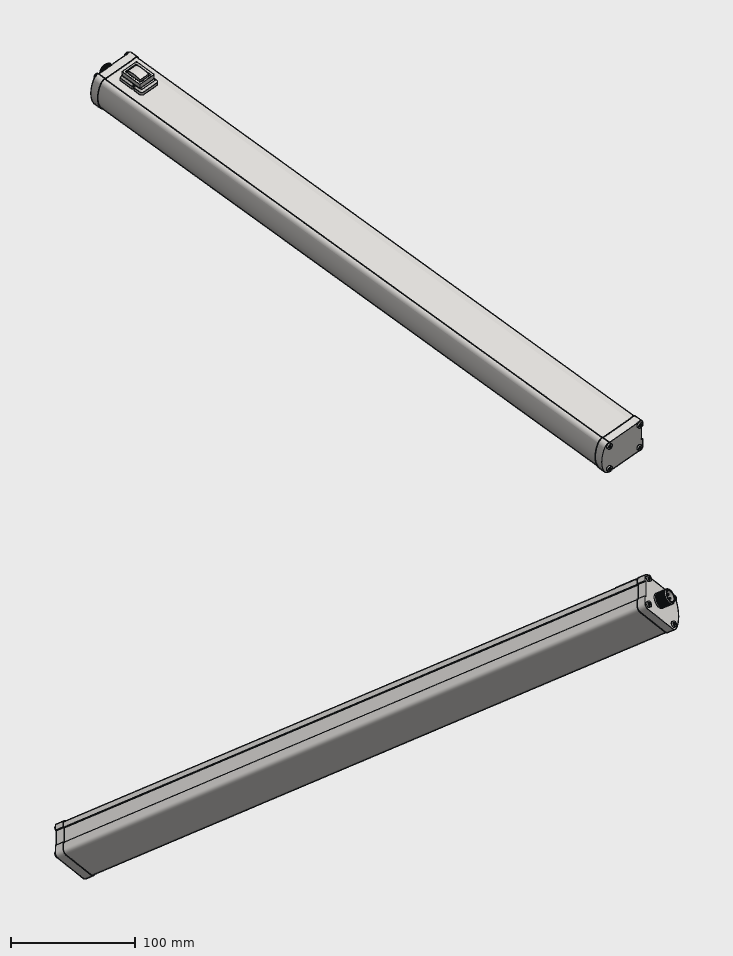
import cadquery as cq
import math

length = 598.5
screw_head_height = 2.0
cap_thickness = 8.0
socket_length = 11.5
cap_start = socket_length
cap_end = length - screw_head_height
body_start = cap_start + cap_thickness
body_end = cap_end - cap_thickness

depth = 46.0
top_height = 33.5
body_inset = 0.5
front_radius = 30.0
front_corner_radius = 6.0
back_corner_radius = 3.9
plate_step = 0.5
plate_height = top_height - plate_step
plate_back_y = 39.0
back_recess_depth = 1.0
back_recess_low = 11.0
back_recess_high = 26.0

screw_front_y = 8.0
screw_back_y = depth - 4.0
screw_low_z = 4.5
screw_high_z = 30.0
screw_head_radius = 2.5
hex_key_size = 2.5
hex_key_depth = 1.0
hex_sides = 6

socket_y = 27.0
socket_z = 17.0
socket_radius = 6.5
socket_chamfer = 0.9
socket_bore_radius = 5.0
socket_bore_depth = 7.0
thread_depth = 0.5
thread_groove_width = 0.9
thread_pitch = 2.0
thread_groove_count = 5
pin_radius = 0.7
pin_circle_radius = 2.5
pin_length = 5.5
pin_count = 4

switch_x = 29.0
switch_y = 26.0
flange_length = 24.5
flange_width = 19.0
flange_top = 37.0
flange_corner_radius = 2.5
flange_chamfer = 2.0
notch_x = 42.5
notch_width = 2.0
notch_depth = 1.0
housing_x = 29.5
housing_length = 20.5
housing_width = 16.0
housing_top = 42.0
rocker_x = 32.5
rocker_length = 14.5
rocker_width = 9.5
rocker_top = 44.0
rocker_edge_height = 42.5
rocker_gap = 1.0
rocker_well_depth = 2.5


def round_middle(center_y, center_z, radius, toward_y, toward_z):
    """Point on a corner round in the given direction from its centre."""
    size = math.hypot(toward_y, toward_z)
    return center_y + radius * toward_y / size, center_z + radius * toward_z / size


def section(inset, start, end):
    """Bar between two X positions, with the end-cap outline drawn in by the inset."""
    middle_z = top_height / 2
    corner_rise = middle_z - front_corner_radius
    reach = front_radius - front_corner_radius
    run = math.sqrt(reach**2 - corner_rise**2)
    corner_y = front_radius - run
    corner_radius = front_corner_radius - inset

    arc_radius = front_radius - inset
    contact_y = front_radius - arc_radius * run / reach
    contact_rise = arc_radius * corner_rise / reach

    toward_y = -run / reach
    toward_z = 1 + corner_rise / reach

    top = top_height - inset
    bottom = inset
    back = depth - inset
    recess_y = back - back_recess_depth
    plate_z = plate_height - inset
    back_radius = back_corner_radius - inset
    back_y = depth - back_corner_radius
    back_high_z = top_height - back_corner_radius
    back_low_z = back_corner_radius
    return (
        cq.Workplane("YZ", origin=(start, 0, 0))
        .moveTo(corner_y, top)
        .threePointArc(
            round_middle(corner_y, middle_z + corner_rise, corner_radius, toward_y, toward_z),
            (contact_y, middle_z + contact_rise),
        )
        .threePointArc((inset, middle_z), (contact_y, middle_z - contact_rise))
        .threePointArc(
            round_middle(corner_y, middle_z - corner_rise, corner_radius, toward_y, -toward_z),
            (corner_y, bottom),
        )
        .lineTo(back_y, bottom)
        .threePointArc(round_middle(back_y, back_low_z, back_radius, 1, -1), (back, back_low_z))
        .lineTo(back, back_recess_low)
        .lineTo(recess_y, back_recess_low)
        .lineTo(recess_y, back_recess_high)
        .lineTo(back, back_recess_high)
        .lineTo(back, back_high_z)
        .threePointArc(round_middle(back_y, back_high_z, back_radius, 1, 1), (back_y, top))
        .lineTo(plate_back_y, plate_z)
        .lineTo(corner_y, plate_z)
        .close()
        .extrude(end - start)
    )


def screw_heads(face_x, direction):
    """Four socket-head screws standing out of a cap face; direction is -1 or +1 along X."""
    centers = [(y, z) for y in (screw_front_y, screw_back_y) for z in (screw_low_z, screw_high_z)]
    outer_x = face_x + direction * screw_head_height
    heads = (
        cq.Workplane("YZ", origin=(face_x, 0, 0))
        .pushPoints(centers)
        .circle(screw_head_radius)
        .extrude(direction * screw_head_height)
    )
    keys = (
        cq.Workplane("YZ", origin=(outer_x, 0, 0))
        .pushPoints(centers)
        .polygon(hex_sides, hex_key_size)
        .extrude(-direction * hex_key_depth)
    )
    return heads.cut(keys)


def cable_socket():
    """Grooved round socket with a bore and contact pins, open toward -X."""
    plane = cq.Workplane("YZ", origin=(0, socket_y, socket_z))
    socket = plane.circle(socket_radius).extrude(socket_length).faces("<X").chamfer(socket_chamfer)
    socket = socket.cut(plane.circle(socket_bore_radius).extrude(socket_bore_depth))
    groove = (
        plane.circle(socket_radius)
        .circle(socket_radius - thread_depth)
        .extrude(thread_groove_width)
    )
    for index in range(1, thread_groove_count + 1):
        socket = socket.cut(groove.translate((index * thread_pitch, 0, 0)))
    pins = (
        cq.Workplane("YZ", origin=(socket_bore_depth, socket_y, socket_z))
        .polarArray(pin_circle_radius, 0, 360, pin_count)
        .circle(pin_radius)
        .extrude(-pin_length)
    )
    return socket.union(pins)


def block(start, size_x, size_y, low, high):
    """Box centred on the switch line in Y."""
    box = cq.Workplane("XY").box(size_x, size_y, high - low, centered=(False, True, False))
    return box.translate((start, switch_y, low))


def switch():
    """Flanged rocker switch with a domed rocker in a well."""
    flange_bottom = plate_height - body_inset
    flange = block(switch_x, flange_length, flange_width, flange_bottom, flange_top)
    flange = flange.edges("|Z and >X").fillet(flange_corner_radius)
    flange = flange.faces(">Z").edges(">X").chamfer(flange_chamfer)
    for side in (-1, 1):
        notch = block(notch_x, notch_width, 2 * notch_depth, flange_bottom, flange_top)
        flange = flange.cut(notch.translate((0, side * flange_width / 2, 0)))
    housing = block(housing_x, housing_length, housing_width, flange_top, housing_top)
    well_floor = housing_top - rocker_well_depth
    well = block(
        rocker_x - rocker_gap,
        rocker_length + 2 * rocker_gap,
        rocker_width + 2 * rocker_gap,
        well_floor,
        housing_top,
    )
    rocker = (
        cq.Workplane("XZ", origin=(rocker_x, switch_y + rocker_width / 2, 0))
        .moveTo(0, well_floor)
        .lineTo(0, rocker_edge_height)
        .threePointArc((rocker_length / 2, rocker_top), (rocker_length, rocker_edge_height))
        .lineTo(rocker_length, well_floor)
        .close()
        .extrude(rocker_width)
    )
    return flange.union(housing.cut(well)).union(rocker)


result = (
    section(body_inset, body_start, body_end)
    .union(section(0, cap_start, body_start))
    .union(section(0, body_end, cap_end))
    .union(screw_heads(cap_start, -1))
    .union(screw_heads(cap_end, 1))
    .union(cable_socket())
    .union(switch())
)